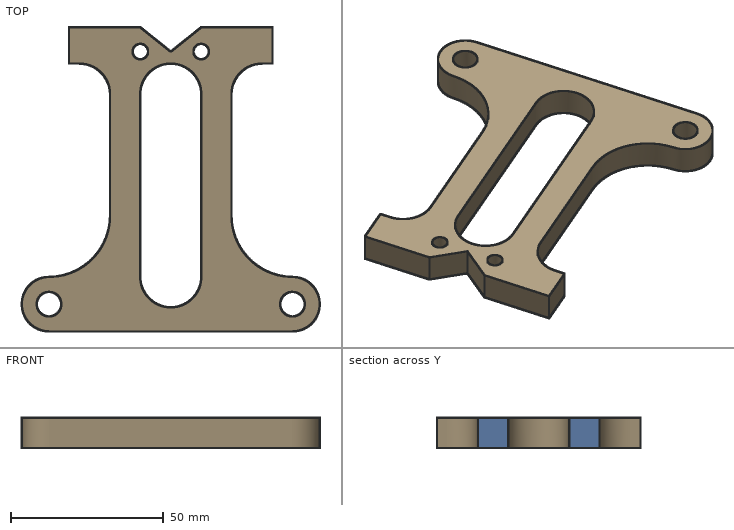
import cadquery as cq
import math

THICKNESS = 10.0
LENGTH = 100.0

EAR_SPACING = 80.0
EAR_RADIUS = 9.0
EAR_HOLE_DIAMETER = 8.0

WEB_WIDTH = 40.0
HEAD_FILLET_RADIUS = 10.0

HEAD_WIDTH = 67.0
HEAD_DEPTH = 12.0
NOTCH_WIDTH = 20.0
NOTCH_DEPTH = 8.0
HEAD_HOLE_SPACING = 20.0
HEAD_HOLE_DIAMETER = 5.0
HEAD_HOLE_SETBACK = 8.0

SLOT_WIDTH = 20.0
SLOT_LENGTH = 80.0

EAR_X = EAR_SPACING / 2
EAR_TOP_Y = 2 * EAR_RADIUS
WEB_X = WEB_WIDTH / 2
FOOT_FILLET_RADIUS = EAR_X - WEB_X
HEAD_X = HEAD_WIDTH / 2
HEAD_BOTTOM_Y = LENGTH - HEAD_DEPTH
NOTCH_X = NOTCH_WIDTH / 2
SLOT_CENTER_Y = HEAD_BOTTOM_Y - SLOT_LENGTH / 2


def arc_point(center_x, center_y, radius, angle_degrees):
    """Point on a circle at the given angle."""
    angle = math.radians(angle_degrees)
    return (center_x + radius * math.cos(angle), center_y + radius * math.sin(angle))


def make_half_plate():
    """The +X half of the plate, closed along the symmetry plane."""
    foot_fillet_y = EAR_TOP_Y + FOOT_FILLET_RADIUS
    head_fillet_x = WEB_X + HEAD_FILLET_RADIUS
    head_fillet_y = HEAD_BOTTOM_Y - HEAD_FILLET_RADIUS
    return (
        cq.Workplane("XY")
        .moveTo(0, 0)
        .lineTo(EAR_X, 0)
        .threePointArc((EAR_X + EAR_RADIUS, EAR_RADIUS), (EAR_X, EAR_TOP_Y))
        .threePointArc(
            arc_point(EAR_X, foot_fillet_y, FOOT_FILLET_RADIUS, 225),
            (WEB_X, foot_fillet_y),
        )
        .lineTo(WEB_X, head_fillet_y)
        .threePointArc(
            arc_point(head_fillet_x, head_fillet_y, HEAD_FILLET_RADIUS, 135),
            (head_fillet_x, HEAD_BOTTOM_Y),
        )
        .lineTo(HEAD_X, HEAD_BOTTOM_Y)
        .lineTo(HEAD_X, LENGTH)
        .lineTo(NOTCH_X, LENGTH)
        .lineTo(0, LENGTH - NOTCH_DEPTH)
        .close()
        .extrude(THICKNESS)
    )


def make_plate():
    """Both mirrored halves joined into one plate."""
    half = make_half_plate()
    return half.union(half.mirror("YZ")).clean()


def make_hole_pair(spacing, y, diameter):
    """Cutter for two through holes placed symmetrically about X = 0."""
    return (
        cq.Workplane("XY")
        .pushPoints([(-spacing / 2, y), (spacing / 2, y)])
        .circle(diameter / 2)
        .extrude(THICKNESS)
    )


def make_slot():
    """Cutter for the round-ended slot along Y."""
    return (
        cq.Workplane("XY")
        .center(0, SLOT_CENTER_Y)
        .slot2D(SLOT_LENGTH, SLOT_WIDTH, 90)
        .extrude(THICKNESS)
    )


result = (
    make_plate()
    .cut(make_slot())
    .cut(make_hole_pair(EAR_SPACING, EAR_RADIUS, EAR_HOLE_DIAMETER))
    .cut(make_hole_pair(HEAD_HOLE_SPACING, LENGTH - HEAD_HOLE_SETBACK, HEAD_HOLE_DIAMETER))
)